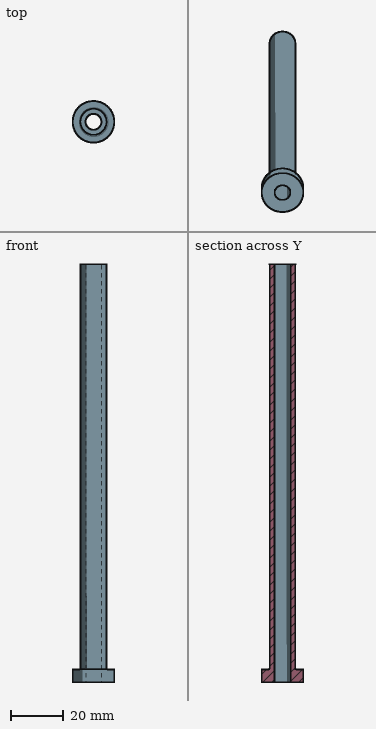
import cadquery as cq

TOTAL_LENGTH = 160.0
HEAD_DIAMETER = 16.0
HEAD_THICKNESS = 5.0
SLEEVE_DIAMETER = 10.0
BORE_DIAMETER = 6.0
ROOT_FILLET_RADIUS = 0.5

HEAD_RADIUS = HEAD_DIAMETER / 2
SLEEVE_RADIUS = SLEEVE_DIAMETER / 2
BORE_RADIUS = BORE_DIAMETER / 2


def headed_sleeve():
    """Head and sleeve revolved about Z, with the underside of the head at Z = 0."""
    half_section = (
        cq.Workplane("XZ")
        .moveTo(BORE_RADIUS, 0)
        .lineTo(HEAD_RADIUS, 0)
        .lineTo(HEAD_RADIUS, HEAD_THICKNESS)
        .lineTo(SLEEVE_RADIUS + ROOT_FILLET_RADIUS, HEAD_THICKNESS)
        .radiusArc((SLEEVE_RADIUS, HEAD_THICKNESS + ROOT_FILLET_RADIUS), ROOT_FILLET_RADIUS)
        .lineTo(SLEEVE_RADIUS, TOTAL_LENGTH)
        .lineTo(BORE_RADIUS, TOTAL_LENGTH)
        .close()
    )
    return half_section.revolve(360, (0, 0, 0), (0, 1, 0))


result = headed_sleeve()